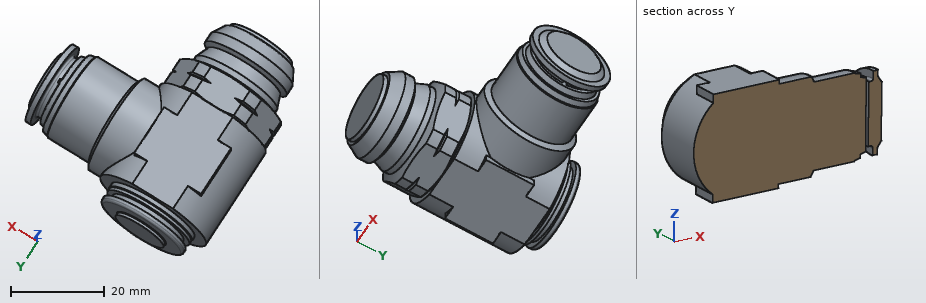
import cadquery as cq
import math


body_radius = 13.5
body_half_length = 12.0
body_half_height = 12.5
pad_half_width = 8.55
pad_half_length = 6.05
body_tilt = 0.5

boss_radius = 11.55
boss_end = 16.8
sleeve_radius = 10.25
sleeve_start = 17.55
sleeve_end = 28.0
sleeve_lip = 0.2
bezel_end = 29.55
bezel_radius = 9.7
nose_end = 30.95
nose_base_radius = 8.9
nose_tip_radius = 8.55
neck_radius = 7.5
neck_fillet = 0.5
collar_start = 32.65
collar_end = 33.95
collar_radius = 9.75
mouth_base_radius = 8.25
mouth_tip_radius = 6.75
branch_end = 35.0
slot_length = 0.55
slot_width = 1.0

core_radius = 10.5

nut_apothem = body_half_length
nut_corner_radius = 13.0
nut_end = -19.95
nut_top_angle = 30
nut_bottom_angle = 20
nut_groove_y = -15.92
nut_groove_half_width = 0.35
nut_groove_radius = 12.4

plug_shoulder = -21.35
waist_y = -24.4
waist_radius = 9.3
land_start = -25.15
land_end = -27.55
plug_cone_end = -30.55
plug_cone_radius = 8.8
plug_tip_radius = 8.05
plug_tip_taper = 0.15
plug_end = -31.5

cap_neck_radius = 9.05
inner_flange_start = 13.25
inner_flange_end = 13.95
outer_flange_start = 15.35
outer_flange_end = 16.65
outer_flange_fillet = 0.6
stub_radius = 6.12
stub_step = 0.15
cap_end = 17.5

stop_radius = 10.65
stop_end = 13.05
stop_outer_drop = 0.25
stop_inner_drop = 0.8


def revolve_about_y(profile):
    """Revolve a closed outline of (radius, y) points about the Y axis."""
    return cq.Workplane("XY").polyline(profile).close().revolve(360, (0, 0), (0, 1))


def revolve_about_x(profile):
    """Revolve a closed outline of (x, radius) points about the X axis."""
    return cq.Workplane("XY").polyline(profile).close().revolve(360, (0, 0), (1, 0))


def make_body():
    """Round barrel with two flats, plus the square pads that widen them."""
    length = 2 * body_half_length
    height = 2 * body_half_height
    barrel = cq.Workplane("XZ").circle(body_radius).extrude(body_half_length, both=True)
    barrel = barrel.intersect(cq.Workplane("XY").box(2 * body_radius, length, height))
    pads = cq.Workplane("XY").box(2 * pad_half_width, 2 * pad_half_length, height)
    return barrel.union(pads)


def make_branch():
    """Stepped sleeve ending in a slotted neck and a collar."""
    sleeve = revolve_about_x([
        (0, 0),
        (0, boss_radius),
        (boss_end, boss_radius),
        (sleeve_start, sleeve_radius),
        (sleeve_end, sleeve_radius),
        (sleeve_end + sleeve_lip, sleeve_radius - sleeve_lip),
        (bezel_end, bezel_radius),
        (bezel_end, nose_base_radius),
        (nose_end, nose_tip_radius),
        (nose_end, 0),
    ])
    neck_and_collar = (
        cq.Workplane("XY")
        .lineTo(0, neck_radius)
        .lineTo(collar_start - neck_fillet, neck_radius)
        .radiusArc((collar_start, neck_radius + neck_fillet), -neck_fillet)
        .lineTo(collar_start, collar_radius)
        .lineTo(collar_end, collar_radius)
        .lineTo(collar_end, mouth_base_radius)
        .lineTo(branch_end, mouth_tip_radius)
        .lineTo(branch_end, 0)
        .close()
        .revolve(360, (0, 0), (1, 0))
    )
    slot = cq.Workplane("XY").box(slot_length, slot_width, 2 * collar_radius)
    slot = slot.translate((nose_end + slot_length / 2, 0, 0))
    return sleeve.union(neck_and_collar).cut(slot)


def make_nut():
    """Hex nut with turned-down corners, chamfered rims and a V groove around the corners."""
    nut_start = -body_half_length
    hexagon = (
        cq.Workplane("XZ", origin=(0, nut_start, 0))
        .polygon(6, 2 * nut_apothem / math.cos(math.pi / 6))
        .extrude(nut_start - nut_end)
    )
    top_drop = (nut_corner_radius - nut_apothem) * math.tan(math.radians(nut_top_angle))
    bottom_rise = (nut_corner_radius - core_radius) * math.tan(math.radians(nut_bottom_angle))
    envelope = revolve_about_y([
        (0, nut_start),
        (nut_apothem, nut_start),
        (nut_corner_radius, nut_start - top_drop),
        (nut_corner_radius, nut_groove_y + nut_groove_half_width),
        (nut_groove_radius, nut_groove_y),
        (nut_corner_radius, nut_groove_y - nut_groove_half_width),
        (nut_corner_radius, nut_end + bottom_rise),
        (core_radius, nut_end),
        (0, nut_end),
    ])
    return hexagon.intersect(envelope)


def make_plug():
    """Turned plug with a waist, a sealing land and a tapered tip."""
    return revolve_about_y([
        (0, 0),
        (core_radius, 0),
        (core_radius, plug_shoulder),
        (waist_radius, waist_y),
        (core_radius, land_start),
        (core_radius, land_end),
        (plug_cone_radius, plug_cone_end),
        (plug_tip_radius, plug_cone_end),
        (plug_tip_radius - plug_tip_taper, plug_end),
        (0, plug_end),
    ])


def make_cap():
    """Neck with two flanges, the outer one rounded, and a stub on its face."""
    step_radius = stub_radius + stub_step
    step_end = outer_flange_end + stub_step
    return (
        cq.Workplane("XY")
        .lineTo(cap_neck_radius, 0)
        .lineTo(cap_neck_radius, inner_flange_start)
        .lineTo(core_radius, inner_flange_start)
        .lineTo(core_radius, inner_flange_end)
        .lineTo(cap_neck_radius, inner_flange_end)
        .lineTo(cap_neck_radius, outer_flange_start)
        .lineTo(core_radius, outer_flange_start)
        .lineTo(core_radius, outer_flange_end - outer_flange_fillet)
        .radiusArc((core_radius - outer_flange_fillet, outer_flange_end), -outer_flange_fillet)
        .lineTo(step_radius, outer_flange_end)
        .lineTo(step_radius, step_end)
        .lineTo(stub_radius, step_end)
        .lineTo(stub_radius, cap_end)
        .lineTo(0, cap_end)
        .close()
        .revolve(360, (0, 0), (0, 1))
    )


def make_stop_ring():
    """Upper half ring whose slanted ends hang slightly below the middle plane."""
    ring = cq.Workplane("XZ").circle(stop_radius).extrude(-stop_end)
    upper_half = (
        cq.Workplane("XZ")
        .polyline([
            (stop_radius, stop_radius),
            (stop_radius, -stop_outer_drop),
            (cap_neck_radius, -stop_inner_drop),
            (-cap_neck_radius, -stop_inner_drop),
            (-stop_radius, -stop_outer_drop),
            (-stop_radius, stop_radius),
        ])
        .close()
        .extrude(-stop_end)
    )
    return ring.intersect(upper_half)


housing = make_body().union(make_branch()).rotate((0, 0, 0), (0, 1, 0), body_tilt)
result = housing.union(make_nut()).union(make_plug()).union(make_cap()).union(make_stop_ring())